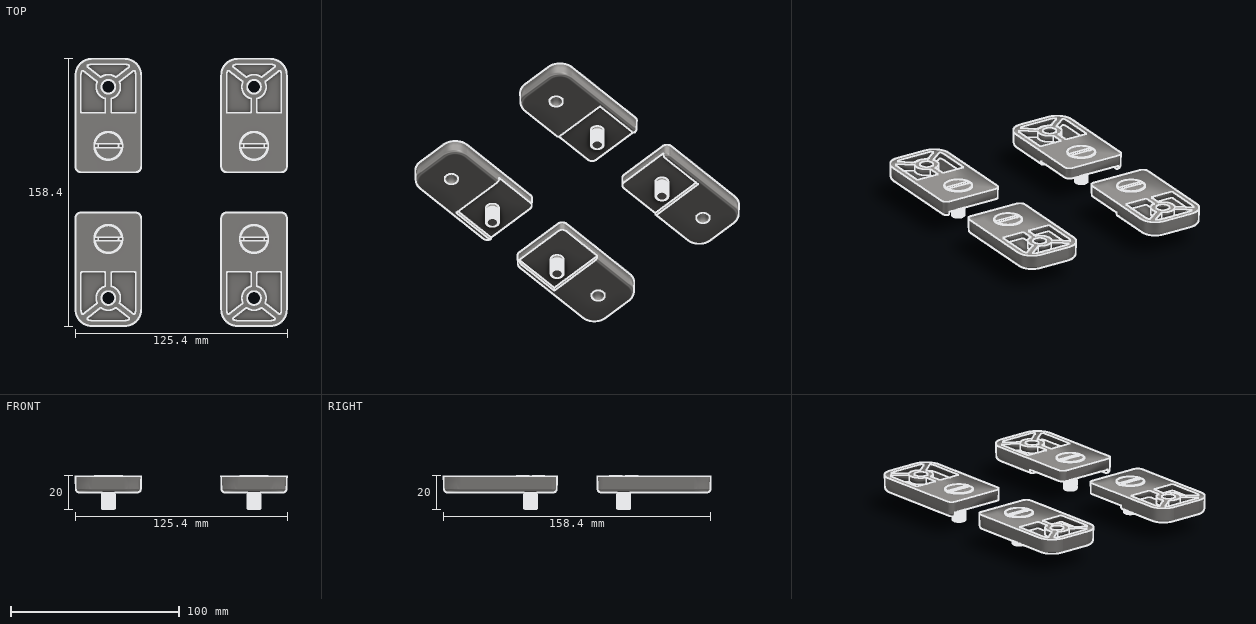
import cadquery as cq
import math

TOTAL_WIDTH = 125.38
TOTAL_LENGTH = 158.42

PLATE_WIDTH = 39.1
PLATE_LENGTH = 67.4
PLATE_HEIGHT = 9.7
OUTER_CORNER_RADIUS = 10.0
INNER_CORNER_RADIUS = 3.5
BOTTOM_FILLET = 2.25
DRAFT_ANGLE = 1.5

REBATE_DEPTH = 2.8
REBATE_LENGTH = 30.0
REBATE_OUTER_WALL = 3.5

HOLE_DIAMETER = 8.0
HOLE_FROM_END = 16.65
BOSS_DIAMETER = 14.4
WALL = 3.3
POCKET_LENGTH = 28.8
POCKET_DEPTH = 4.0
POCKET_CORNER_RADIUS = 0.7
RIB_WIDTH = 3.4
RIB_ANGLE = 38.0

SCREW_FROM_HOLE = 35.0
SHANK_DIAMETER = 7.95
THREAD_ROOT_DIAMETER = 6.6
THREAD_PITCH = 1.16
THREAD_LENGTH = 9.9
CREST_WIDTH = THREAD_PITCH / 8
HEAD_DIAMETER = 16.9
HEAD_TOP_DIAMETER = 16.0
HEAD_RISE = 0.4
SLOT_WIDTH = 2.3
SLOT_DEPTH = 2.4

HOLE_Y = PLATE_LENGTH / 2 - HOLE_FROM_END
SCREW_Y = HOLE_Y - SCREW_FROM_HOLE
COLUMN_PITCH = TOTAL_WIDTH - PLATE_WIDTH
ROW_PITCH = TOTAL_LENGTH - PLATE_LENGTH
CONE_HEIGHT = (HEAD_DIAMETER - SHANK_DIAMETER) / 2


def rounded_end_block(width, length, end_radius, base_radius, height, draft=0.0):
    """Block with one radius at its +Y corners and another at its -Y corners."""
    half = width / 2
    front = -length / 2
    back = length / 2
    bend_end = end_radius * (1 - math.sqrt(0.5))
    bend_base = base_radius * (1 - math.sqrt(0.5))
    return (
        cq.Workplane("XY")
        .moveTo(half, front + base_radius)
        .lineTo(half, back - end_radius)
        .threePointArc((half - bend_end, back - bend_end), (half - end_radius, back))
        .lineTo(end_radius - half, back)
        .threePointArc((bend_end - half, back - bend_end), (-half, back - end_radius))
        .lineTo(-half, front + base_radius)
        .threePointArc((bend_base - half, front + bend_base), (base_radius - half, front))
        .lineTo(half - base_radius, front)
        .threePointArc((half - bend_base, front + bend_base), (half, front + base_radius))
        .close()
        .extrude(height, taper=draft)
    )


def make_rib(angle):
    """Bar running outward from the hole axis, at an angle from +X."""
    return (
        cq.Workplane("XY")
        .rect(PLATE_LENGTH, RIB_WIDTH)
        .extrude(POCKET_DEPTH)
        .translate((PLATE_LENGTH / 2, 0, 0))
        .rotate((0, 0, 0), (0, 0, 1), angle)
        .translate((0, HOLE_Y, 0))
    )


def make_pockets():
    """Three recesses left between the wall, the boss and its three ribs."""
    pockets = rounded_end_block(
        PLATE_WIDTH - 2 * WALL,
        POCKET_LENGTH,
        OUTER_CORNER_RADIUS - WALL,
        POCKET_CORNER_RADIUS,
        POCKET_DEPTH,
    ).translate((0, PLATE_LENGTH / 2 - WALL - POCKET_LENGTH / 2, 0))
    boss = cq.Workplane("XY").circle(BOSS_DIAMETER / 2).extrude(POCKET_DEPTH).translate((0, HOLE_Y, 0))
    for angle in (RIB_ANGLE, 180 - RIB_ANGLE, 270):
        pockets = pockets.cut(make_rib(angle))
    pockets = pockets.edges("|Z").fillet(POCKET_CORNER_RADIUS).cut(boss)
    return pockets.translate((0, 0, PLATE_HEIGHT - POCKET_DEPTH))


def make_rebate():
    """Step removed from the underside, leaving full height along the outer (-X) side."""
    return (
        cq.Workplane("XY")
        .box(PLATE_WIDTH, REBATE_LENGTH, REBATE_DEPTH, centered=False)
        .translate((REBATE_OUTER_WALL - PLATE_WIDTH / 2, -PLATE_LENGTH / 2, 0))
    )


def make_plate(screw_envelope):
    """Plate narrowing slightly downward, with pockets, bolt hole and a seat for the screw."""
    plate = (
        rounded_end_block(
            PLATE_WIDTH, PLATE_LENGTH, OUTER_CORNER_RADIUS, INNER_CORNER_RADIUS, PLATE_HEIGHT, DRAFT_ANGLE
        )
        .mirror("XY")
        .translate((0, 0, PLATE_HEIGHT))
        .faces("<Z")
        .edges()
        .fillet(BOTTOM_FILLET)
    )
    hole = cq.Workplane("XY").circle(HOLE_DIAMETER / 2).extrude(PLATE_HEIGHT).translate((0, HOLE_Y, 0))
    for void in (make_pockets(), make_rebate(), hole, screw_envelope):
        plate = plate.cut(void)
    return plate


def make_screw_envelope():
    """Unslotted screw: raised rim, countersunk cone, plain shank and ring-cut thread."""
    shank = SHANK_DIAMETER / 2
    root = THREAD_ROOT_DIAMETER / 2
    profile = (
        cq.Workplane("XZ")
        .moveTo(0, PLATE_HEIGHT + HEAD_RISE)
        .lineTo(HEAD_TOP_DIAMETER / 2, PLATE_HEIGHT + HEAD_RISE)
        .lineTo(HEAD_DIAMETER / 2, PLATE_HEIGHT)
        .lineTo(shank, PLATE_HEIGHT - CONE_HEIGHT)
        .lineTo(shank, 0)
    )
    for turn in range(int(THREAD_LENGTH / THREAD_PITCH)):
        top = -turn * THREAD_PITCH
        profile = (
            profile.lineTo(shank, top - CREST_WIDTH)
            .lineTo(root, top - (THREAD_PITCH + CREST_WIDTH) / 2)
            .lineTo(shank, top - THREAD_PITCH)
        )
    profile = profile.lineTo(root, -THREAD_LENGTH).lineTo(0, -THREAD_LENGTH).close()
    return profile.revolve(360, (0, 0, 0), (0, 1, 0)).translate((0, SCREW_Y, 0))


def make_screw(envelope):
    """Screw with a straight driver slot across its head."""
    slot = (
        cq.Workplane("XY")
        .box(HEAD_DIAMETER, SLOT_WIDTH, SLOT_DEPTH + HEAD_RISE, centered=(True, True, False))
        .translate((0, SCREW_Y, PLATE_HEIGHT - SLOT_DEPTH))
    )
    return envelope.cut(slot)


screw_envelope = make_screw_envelope()
plate = make_plate(screw_envelope)
screw = make_screw(screw_envelope)

bodies = []
for body in (plate, screw):
    top_left = body.translate((-COLUMN_PITCH / 2, ROW_PITCH / 2, 0))
    top_right = top_left.mirror("YZ")
    bottom_left = top_left.mirror("XZ")
    bottom_right = top_right.mirror("XZ")
    for placed in (top_left, top_right, bottom_left, bottom_right):
        bodies.append(placed.val())

result = cq.Compound.makeCompound(bodies)